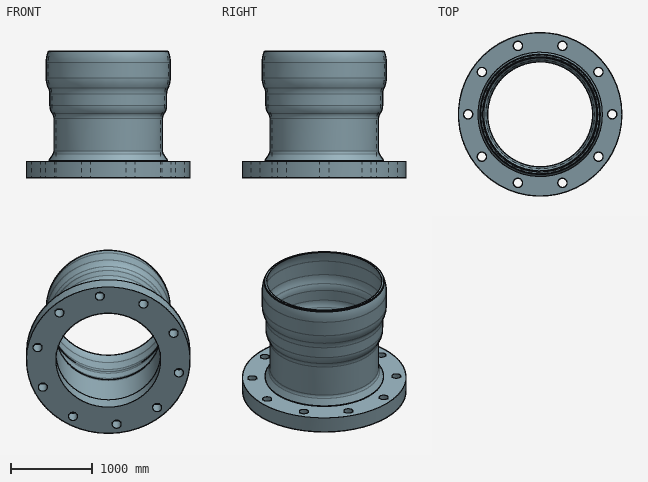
import cadquery as cq
import math

FLANGE_DIAMETER = 2000.0
FLANGE_THICKNESS = 200.0
BORE_DIAMETER = 1280.0
BOLT_CIRCLE_DIAMETER = 1760.0
BOLT_HOLE_DIAMETER = 110.0
BOLT_COUNT = 10

WALL = 25.0
LOWER_RADIUS = BORE_DIAMETER / 2 + WALL
MIDDLE_RADIUS = 715.0
UPPER_RADIUS = 760.0

FOOT_RADIUS = 720.0
FOOT_EDGE_RADIUS = 725.0
FOOT_EDGE_Z = 212.0
FOOT_FILLET_START_Z = 288.0
FOOT_FILLET_END_Z = 328.0
FOOT_TAPER_ANGLE = math.radians(33)

LOWER_STEP_Z = (725.0, 785.0, 885.0)
UPPER_STEP_Z = (1025.0, 1098.0, 1220.0)

RIM_START_Z = 1410.0
TOP_Z = 1550.0
RIM_ARC_RADIUS = 350.0
RIM_CHAMFER_HEIGHT = 10.0
RIM_CHAMFER_WIDTH = 8.0


def arc_point(center, radius, angle):
    """Point on an arc in the (radius, height) half plane."""
    return (center[0] + radius * math.cos(angle), center[1] + radius * math.sin(angle))


def add_arc(outline, center, radius, start_angle, end_angle):
    """Continue an outline that already stands at the start of the arc."""
    middle = arc_point(center, radius, (start_angle + end_angle) / 2)
    return outline.threePointArc(middle, arc_point(center, radius, end_angle))


def step_arcs(small_radius, large_radius, heights):
    """The two tangent arcs of an outer S-step, upward: center, radius, start angle, end angle."""
    start_z, bend_z, end_z = heights
    rise = end_z - start_z
    growth = large_radius - small_radius
    radius_sum = (growth**2 + rise**2) / (2 * growth)
    concave_radius = radius_sum * (bend_z - start_z) / rise
    convex_radius = radius_sum - concave_radius
    turn = math.asin(rise / radius_sum)
    concave = ((small_radius + concave_radius, start_z), concave_radius, math.pi, math.pi - turn)
    convex = ((large_radius - convex_radius, end_z), convex_radius, -turn, 0)
    return concave, convex


def add_outer_step(outline, arcs):
    concave, convex = arcs
    outline = add_arc(outline, *concave)
    return add_arc(outline, *convex)


def add_inner_step(outline, arcs):
    """Follow an S-step downward along the inner wall, parallel to the outer one."""
    (concave_center, concave_radius, low, high), (convex_center, convex_radius, start, end) = arcs
    outline = add_arc(outline, convex_center, convex_radius - WALL, end, start)
    return add_arc(outline, concave_center, concave_radius + WALL, high, low)


def make_flange():
    return (
        cq.Workplane("XY")
        .circle(FLANGE_DIAMETER / 2)
        .circle(BORE_DIAMETER / 2)
        .extrude(FLANGE_THICKNESS)
        .faces(">Z")
        .workplane()
        .polarArray(BOLT_CIRCLE_DIAMETER / 2, 0, 360, BOLT_COUNT)
        .hole(BOLT_HOLE_DIAMETER)
    )


def make_pipe():
    lower_step = step_arcs(LOWER_RADIUS, MIDDLE_RADIUS, LOWER_STEP_Z)
    upper_step = step_arcs(MIDDLE_RADIUS, UPPER_RADIUS, UPPER_STEP_Z)

    fillet_radius = (FOOT_FILLET_END_Z - FOOT_FILLET_START_Z) / math.sin(FOOT_TAPER_ANGLE)
    fillet_center = (LOWER_RADIUS + fillet_radius, FOOT_FILLET_END_Z)
    fillet_start_angle = math.pi + FOOT_TAPER_ANGLE

    rim_center = (UPPER_RADIUS - RIM_ARC_RADIUS, RIM_START_Z)
    rim_inner_radius = RIM_ARC_RADIUS - WALL
    chamfer_start_z = TOP_Z - RIM_CHAMFER_HEIGHT
    outer_rim_angle = math.asin((chamfer_start_z - RIM_START_Z) / RIM_ARC_RADIUS)
    inner_rim_angle = math.asin((TOP_Z - RIM_START_Z) / rim_inner_radius)
    chamfer_start = arc_point(rim_center, RIM_ARC_RADIUS, outer_rim_angle)
    rim_inner_edge = arc_point(rim_center, rim_inner_radius, inner_rim_angle)

    outline = (
        cq.Workplane("XZ")
        .moveTo(BORE_DIAMETER / 2, FLANGE_THICKNESS)
        .lineTo(FOOT_RADIUS, FLANGE_THICKNESS)
        .lineTo(FOOT_EDGE_RADIUS, FOOT_EDGE_Z)
        .lineTo(*arc_point(fillet_center, fillet_radius, fillet_start_angle))
    )
    outline = add_arc(outline, fillet_center, fillet_radius, fillet_start_angle, math.pi)
    outline = outline.lineTo(LOWER_RADIUS, LOWER_STEP_Z[0])
    outline = add_outer_step(outline, lower_step)
    outline = outline.lineTo(MIDDLE_RADIUS, UPPER_STEP_Z[0])
    outline = add_outer_step(outline, upper_step)
    outline = outline.lineTo(UPPER_RADIUS, RIM_START_Z)
    outline = add_arc(outline, rim_center, RIM_ARC_RADIUS, 0, outer_rim_angle)

    outline = outline.lineTo(chamfer_start[0] - RIM_CHAMFER_WIDTH, TOP_Z).lineTo(*rim_inner_edge)
    outline = add_arc(outline, rim_center, rim_inner_radius, inner_rim_angle, 0)
    outline = outline.lineTo(UPPER_RADIUS - WALL, UPPER_STEP_Z[2])
    outline = add_inner_step(outline, upper_step)
    outline = outline.lineTo(MIDDLE_RADIUS - WALL, LOWER_STEP_Z[2])
    outline = add_inner_step(outline, lower_step)
    return outline.close().revolve(360, (0, 0, 0), (0, 1, 0))


flange = make_flange()
pipe = make_pipe()
result = cq.Compound.makeCompound([flange.val(), pipe.val()])